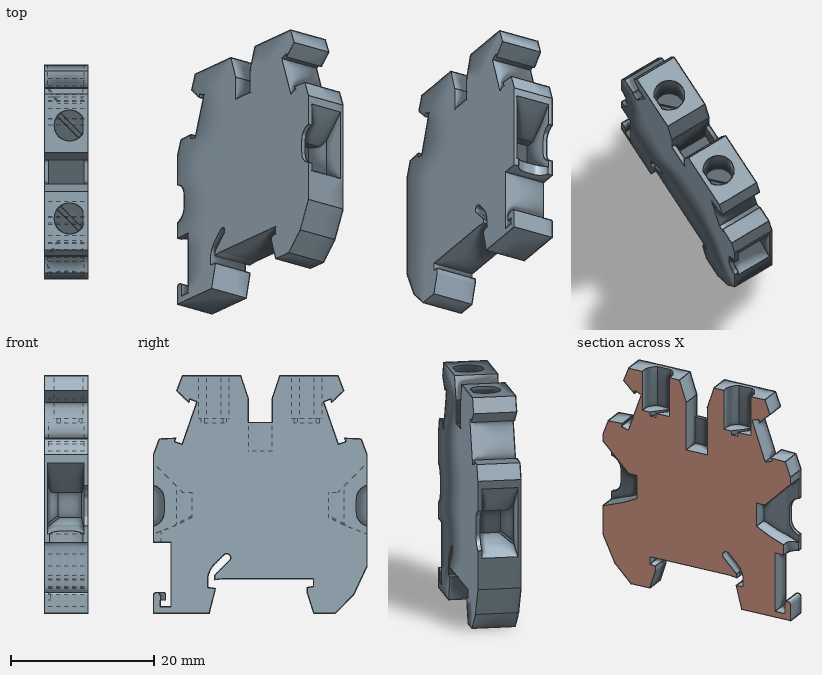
import cadquery as cq
import math

THICKNESS = 6.15
LENGTH = 29.9
HEIGHT = 33.25
HALF_LENGTH = LENGTH / 2
THIN_WALL = 0.45
THICK_WALL = 0.6
INNER_X = THICKNESS - THICK_WALL

TOWER_TOP_INNER = 2.73
TOWER_TOP_OUTER = 10.88
TOWER_EDGE = (11.69, 31.13)
SLOT_HALF_WIDTH = 1.65
SLOT_TAPER_Z = 30.0
SLOT_FLOOR_Z = 26.7
SLOT_RECESS_DEPTH = 4.0

GROOVE_LIP_TIP = (9.97, 29.48)
GROOVE_LIP_ROOT = (9.87, 29.96)
GROOVE_TOP = (8.87, 29.58)
GROOVE_BOTTOM = (10.92, 23.67)
GROOVE_CATCH_ROOT = (11.99, 24.0)
GROOVE_CATCH_TIP = (11.8, 24.5)
SHOULDER_Z = 24.4
SHOULDER_OUTER = 14.12
SHOULDER_CHAMFER_Z = 22.18

FOOT_SIDE_Z = 6.61
FOOT_CORNER = (13.08, 2.62)
FOOT_TOE_OUTER = 10.48
FOOT_TOE_INNER = 7.48
FOOT_JAW_TIP = 6.57
FOOT_JAW_LOW_Z = 2.86
FOOT_JAW_HIGH_Z = 3.63
FOOT_JAW_ROOT = (7.43, 3.77)
RAIL_SEAT_Z = 4.84

SEAT_LIP_START_Y = -5.1
SEAT_LIP_Z = 4.7
RELIEF_CENTER = (-4.7, 7.78)
RELIEF_RADIUS = 0.555
RELIEF_INNER_Y = -6.37
RELIEF_BEND_Y = RELIEF_INNER_Y
RELIEF_OUTER_Y = -7.33
RELIEF_OUTER_Z = 5.04
SPRING_JAW_ROOT_Z = 3.63
SPRING_JAW_TIP = (-6.25, 3.49)
SPRING_TOE_Y = -7.13

OVERHANG_Z = 9.91
SPRING_BACK_Y = -12.51
HOOK_FLOOR_Z = 0.95
HOOK_STEM_Y = -13.98
HOOK_LIP_Z = 1.85
HOOK_TIP_Y = -13.22
HOOK_TOP_Z = 2.92
HOOK_INNER_CHAMFER = 0.2
HOOK_STEM_RADIUS = 0.45
HOOK_LIP_LENGTH = 0.85
HOOK_LIP_RADIUS = 0.43

SCREW_Y = 6.5
SCREW_X = 3.55
SCREW_RADIUS = 2.16
SCREW_FLAT_X = 5.45
SCREW_HEAD_DEPTH = 6.0
DRIVER_SLOT_WIDTH = 0.66
DRIVER_SLOT_DEPTH = 0.6
DRIVER_SLOT_ANGLE = -45

ENTRY_TOP_Z = 21.04
ENTRY_BOTTOM_Z = 11.1
THROAT_TOP_Z = 16.93
THROAT_BOTTOM_Z = 13.42
THROAT_X_MIN = 1.93
THROAT_X_MAX = 5.2
TAPER_DEPTH = 3.25
TAPER_FLOOR_Z = 12.33
FAR_WALL_TAPER_DEPTH = 1.94
CEILING_DEPTH = 4.1
FUNNEL_DEPTH = 5.4
FUNNEL_CORNER_CHAMFER = 0.2

SIDE_NOTCH_Z = (12.2, 17.9)
SIDE_NOTCH_FLAT = 1.8
SIDE_NOTCH_DEPTH = 1.53
SILL_NOTCH_X = (0.73, 5.44)
SILL_NOTCH_FLAT = 1.33
SILL_NOTCH_DEPTH = 1.1


def flank_points():
    """Upper flank as (distance from mid-plane, Z), from the slot floor out to the end face."""
    return [
        (SLOT_HALF_WIDTH, SLOT_FLOOR_Z),
        (SLOT_HALF_WIDTH, SLOT_TAPER_Z),
        (TOWER_TOP_INNER, HEIGHT),
        (TOWER_TOP_OUTER, HEIGHT),
        TOWER_EDGE,
        GROOVE_LIP_TIP,
        GROOVE_LIP_ROOT,
        GROOVE_TOP,
        GROOVE_BOTTOM,
        GROOVE_CATCH_ROOT,
        GROOVE_CATCH_TIP,
        (SHOULDER_OUTER, SHOULDER_Z),
        (HALF_LENGTH, SHOULDER_CHAMFER_Z),
    ]


def make_body():
    """Constant-section housing: the YZ outline extruded through the thickness."""
    diagonal = RELIEF_RADIUS * math.sqrt(0.5)
    center_y, center_z = RELIEF_CENTER
    relief_inner = (center_y + diagonal, center_z - diagonal)
    relief_outer = (center_y - diagonal, center_z + diagonal)
    relief_end = (center_y + diagonal, center_z + diagonal)
    lip_top_z = relief_inner[1] - (relief_inner[0] - RELIEF_INNER_Y)
    bend_z = relief_outer[1] - (relief_outer[0] - RELIEF_BEND_Y)

    fixed_foot = [
        (HALF_LENGTH, FOOT_SIDE_Z),
        FOOT_CORNER,
        (FOOT_TOE_OUTER, 0),
        (FOOT_TOE_INNER, 0),
        (FOOT_JAW_TIP, FOOT_JAW_LOW_Z),
        (FOOT_JAW_TIP, FOOT_JAW_HIGH_Z),
        FOOT_JAW_ROOT,
        (FOOT_JAW_ROOT[0], RAIL_SEAT_Z),
    ]
    seat_lip = [
        (SEAT_LIP_START_Y, RAIL_SEAT_Z),
        (RELIEF_INNER_Y, SEAT_LIP_Z),
        (RELIEF_INNER_Y, lip_top_z),
        relief_inner,
    ]
    sprung_foot = [
        (RELIEF_OUTER_Y, SPRING_JAW_ROOT_Z),
        SPRING_JAW_TIP,
        (SPRING_TOE_Y, 0),
        (-HALF_LENGTH, 0),
        (-HALF_LENGTH, HOOK_TOP_Z - HOOK_STEM_RADIUS),
    ]
    hook = [
        (HOOK_TIP_Y - HOOK_INNER_CHAMFER, HOOK_TOP_Z),
        (HOOK_TIP_Y, HOOK_TOP_Z - HOOK_INNER_CHAMFER),
        (HOOK_TIP_Y, HOOK_LIP_Z),
        (HOOK_STEM_Y, HOOK_LIP_Z),
        (HOOK_STEM_Y, HOOK_FLOOR_Z),
        (SPRING_BACK_Y, HOOK_FLOOR_Z),
        (SPRING_BACK_Y, OVERHANG_Z),
        (-HALF_LENGTH, OVERHANG_Z),
    ]
    near_flank = [(-y, z) for y, z in reversed(flank_points())]

    outline = cq.Workplane("YZ").polyline(flank_points() + fixed_foot + seat_lip)
    outline = outline.threePointArc(relief_end, relief_outer)
    outline = outline.lineTo(RELIEF_BEND_Y, bend_z)
    outline = outline.tangentArcPoint((RELIEF_OUTER_Y, RELIEF_OUTER_Z), relative=False)
    for point in sprung_foot:
        outline = outline.lineTo(*point)
    outline = outline.tangentArcPoint((-HALF_LENGTH + HOOK_STEM_RADIUS, HOOK_TOP_Z), relative=False)
    for point in hook + near_flank:
        outline = outline.lineTo(*point)
    return outline.close().extrude(THICKNESS)


def make_hook_relief():
    """Space behind the hook stem, leaving its lip only next to the -X face."""
    lip_end = (
        cq.Workplane("XY", origin=(0, 0, HOOK_FLOOR_Z))
        .moveTo(HOOK_LIP_LENGTH, HOOK_STEM_Y)
        .lineTo(HOOK_LIP_LENGTH, HOOK_TIP_Y - HOOK_LIP_RADIUS)
        .tangentArcPoint((HOOK_LIP_LENGTH - HOOK_LIP_RADIUS, HOOK_TIP_Y), relative=False)
        .lineTo(THICKNESS, HOOK_TIP_Y)
        .lineTo(THICKNESS, HOOK_STEM_Y)
        .close()
        .extrude(HOOK_TOP_Z - HOOK_FLOOR_Z)
    )
    stem_rounding = (
        cq.Workplane("YZ", origin=(HOOK_LIP_LENGTH, 0, 0))
        .moveTo(HOOK_STEM_Y, HOOK_TOP_Z - HOOK_STEM_RADIUS)
        .lineTo(HOOK_STEM_Y, HOOK_TOP_Z)
        .lineTo(HOOK_STEM_Y - HOOK_STEM_RADIUS, HOOK_TOP_Z)
        .radiusArc((HOOK_STEM_Y, HOOK_TOP_Z - HOOK_STEM_RADIUS), HOOK_STEM_RADIUS)
        .close()
        .extrude(THICKNESS - HOOK_LIP_LENGTH)
    )
    return lip_end.union(stem_rounding)


def make_slot_recess():
    """Rectangular well in the floor of the central slot."""
    size_x = INNER_X - THICK_WALL
    center_x = (INNER_X + THICK_WALL) / 2
    return (
        cq.Workplane("XY", origin=(center_x, 0, SLOT_FLOOR_Z))
        .rect(size_x, 2 * SLOT_HALF_WIDTH)
        .extrude(-SLOT_RECESS_DEPTH)
    )


def make_screw_hole(center_y):
    """Access hole with a flat on the +X side, down to a slotted screw head."""
    head_z = HEIGHT - SCREW_HEAD_DEPTH
    hole_depth = SCREW_HEAD_DEPTH + DRIVER_SLOT_DEPTH
    round_hole = (
        cq.Workplane("XY", origin=(SCREW_X, center_y, HEIGHT))
        .circle(SCREW_RADIUS)
        .extrude(-SCREW_HEAD_DEPTH)
    )
    flat_limit = (
        cq.Workplane("XY", origin=(0, center_y, HEIGHT))
        .rect(2 * SCREW_FLAT_X, LENGTH)
        .extrude(-hole_depth)
    )
    driver_slot = (
        cq.Workplane("XY", origin=(SCREW_X, center_y, head_z))
        .transformed(rotate=(0, 0, DRIVER_SLOT_ANGLE))
        .rect(2 * SCREW_RADIUS, DRIVER_SLOT_WIDTH)
        .extrude(-DRIVER_SLOT_DEPTH)
    )
    return round_hole.union(driver_slot).intersect(flat_limit)


def make_funnel():
    """Wire entry on the -Y end: the side section crossed with the plan section."""
    def at_depth(depth):
        return depth - HALF_LENGTH

    side = (
        cq.Workplane("YZ")
        .polyline([
            (at_depth(0), ENTRY_BOTTOM_Z),
            (at_depth(0), ENTRY_TOP_Z),
            (at_depth(CEILING_DEPTH), THROAT_TOP_Z),
            (at_depth(FUNNEL_DEPTH), THROAT_TOP_Z),
            (at_depth(FUNNEL_DEPTH), THROAT_BOTTOM_Z),
            (at_depth(TAPER_DEPTH), TAPER_FLOOR_Z),
        ])
        .close()
        .extrude(THICKNESS)
    )
    plan = (
        cq.Workplane("XY")
        .polyline([
            (THIN_WALL, at_depth(0)),
            (THIN_WALL, at_depth(TAPER_DEPTH)),
            (THROAT_X_MIN, at_depth(FUNNEL_DEPTH)),
            (THROAT_X_MAX, at_depth(FUNNEL_DEPTH)),
            (INNER_X, at_depth(FAR_WALL_TAPER_DEPTH)),
            (INNER_X, at_depth(0)),
        ])
        .close()
        .extrude(HEIGHT)
    )
    funnel = side.intersect(plan)
    rising_corner = cq.selectors.BoxSelector(
        (THIN_WALL, at_depth(TAPER_DEPTH), TAPER_FLOOR_Z),
        (THROAT_X_MIN, at_depth(FUNNEL_DEPTH), THROAT_BOTTOM_Z),
    )
    return funnel.edges(rising_corner).chamfer(FUNNEL_CORNER_CHAMFER)


def make_notch(plane, span, flat, depth, length):
    """Cutter for a notch in the -Y end face: two arcs running tangent into a flat bottom.

    The plane's local X runs along the span and its local Y is the world Y direction.
    """
    start, end = span
    middle = (start + end) / 2
    bottom_y = depth - HALF_LENGTH
    arc_width = (end - start - flat) / 2
    radius = (arc_width**2 + depth**2) / (2 * depth)
    return (
        cq.Workplane(plane)
        .moveTo(start, -HALF_LENGTH)
        .radiusArc((middle - flat / 2, bottom_y), radius)
        .lineTo(middle + flat / 2, bottom_y)
        .radiusArc((end, -HALF_LENGTH), radius)
        .close()
        .extrude(length)
    )


def make_side_notch():
    """Notch through the +X wall beside the wire entry."""
    plane = cq.Plane(origin=(THICKNESS, 0, 0), xDir=(0, 0, 1), normal=(-1, 0, 0))
    return make_notch(plane, SIDE_NOTCH_Z, SIDE_NOTCH_FLAT, SIDE_NOTCH_DEPTH, THICK_WALL)


def make_sill_notch():
    """Notch through the sill below the wire entry, open upward into the funnel."""
    plane = cq.Plane(origin=(0, 0, OVERHANG_Z), xDir=(1, 0, 0), normal=(0, 0, 1))
    return make_notch(plane, SILL_NOTCH_X, SILL_NOTCH_FLAT, SILL_NOTCH_DEPTH, TAPER_FLOOR_Z - OVERHANG_Z)


wire_entry = make_funnel().union(make_side_notch())
result = make_body().cut(make_hook_relief()).cut(make_slot_recess()).cut(make_sill_notch())
result = result.cut(wire_entry).cut(wire_entry.mirror("XZ"))
for screw_y in (-SCREW_Y, SCREW_Y):
    result = result.cut(make_screw_hole(screw_y))